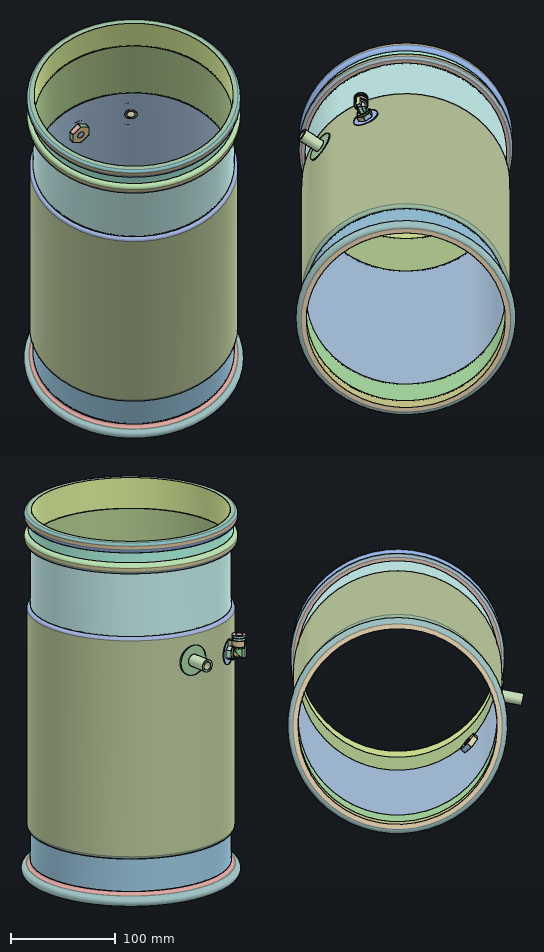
import cadquery as cq
import math

TOTAL_HEIGHT = 366.0
BORE_RADIUS = 190.0 / 2
TUBE_RADIUS = 192.0 / 2

FLANGE_RADIUS = 210.0 / 2
BEAD_HEIGHT = 10.2
FLARE = 3.3
FLANGE_HEIGHT = BEAD_HEIGHT + FLARE

JACKET_RADIUS = 199.0 / 2
JACKET_BOTTOM = 46.5
JACKET_TOP = 270.5
JACKET_ROUND = 3.3

COLLAR_RADIUS = 204.0 / 2
GROOVE_RADIUS = 196.0 / 2
COLLAR_HEIGHT = 31.0
COLLAR_BOTTOM = TOTAL_HEIGHT - COLLAR_HEIGHT
OUTER_ROUND = 2.5
BEAD_FLAT = 3.5
SHOULDER_HEIGHT = 4.5
SHOULDER_ROUND = 4.8

PLUG_SEAT = TUBE_RADIUS
PLUG_FACE = 100.0

STUB_ANGLE = 150.0
STUB_OFFSET = 3.0
STUB_Z = 241.0
STUB_RADIUS = 12.0 / 2
STUB_BORE_RADIUS = 8.0 / 2
STUB_REACH = 121.0
STUB_PLUG_RADIUS = 30.0 / 2

ELBOW_Y = -1.5
ELBOW_Z = 234.5
ELBOW_X = -110.5
ELBOW_PLUG_RADIUS = 25.0 / 2
PIPE_RADIUS = 8.0 / 2
SHANK_RADIUS = 7.5 / 2
HEX_FLATS = 13.5
HEX_LENGTH = 4.8
SLEEVE_RADIUS = 12.0 / 2
SLEEVE_LENGTH = 2.0
FIN_THICKNESS = 4.0
FIN_LEFT = -117.5
FIN_BOTTOM = 231.0
FIN_TOP = 247.0
HEAD_RADIUS = 13.5 / 2
HEAD_BOTTOM = 242.2
HEAD_TOP = 248.5
LEDGE_RADIUS = 12.0 / 2
LEDGE_BOTTOM = 240.8
NECK_RADIUS = 12.0 / 2
NECK_TOP = 251.0
RIM_TOP = 253.5
MOUTH_RADIUS = 7.5 / 2
MOUTH_DEPTH = 3.5

NUT_FLATS = 18.3
NUT_THICKNESS = 5.5
NUT_FACE = BORE_RADIUS - NUT_THICKNESS


def ring(outer_radius, bottom, top):
    """Plain ring around Z that keeps the common bore."""
    height = top - bottom
    return cq.Workplane("XY").workplane(offset=bottom).circle(outer_radius).circle(BORE_RADIUS).extrude(height)


def stub_rod(radius, start, end):
    """Round rod on the level stub axis, between two distances out from the Z axis."""
    turn = math.radians(STUB_ANGLE)
    outward = cq.Vector(math.cos(turn), math.sin(turn), 0)
    sideways = cq.Vector(math.sin(turn), -math.cos(turn), 0)
    base = outward * start + sideways * STUB_OFFSET + cq.Vector(0, 0, STUB_Z)
    return cq.Workplane(cq.Solid.makeCylinder(radius, end - start, base, outward))


def elbow_rod(radius, start, end):
    """Round rod on the level elbow axis, between two distances out from the Z axis."""
    base = cq.Vector(-start, ELBOW_Y, ELBOW_Z)
    return cq.Workplane(cq.Solid.makeCylinder(radius, end - start, base, cq.Vector(-1, 0, 0)))


def elbow_hexagon(flats, start, end):
    """Hexagonal bar on the level elbow axis with one corner up."""
    corner_diameter = flats / math.cos(math.pi / 6)
    plane = cq.Plane(origin=(-start, ELBOW_Y, ELBOW_Z), xDir=(0, 0, 1), normal=(-1, 0, 0))
    return cq.Workplane(plane).polygon(6, corner_diameter).extrude(end - start)


def upright(radius, bottom, top):
    """Round rod on the vertical elbow axis."""
    return cq.Workplane("XY", origin=(ELBOW_X, ELBOW_Y, bottom)).circle(radius).extrude(top - bottom)


def make_flange():
    """Half-round bead with a concave flare up to the lower tube."""
    bead_round = BEAD_HEIGHT / 2
    return (
        cq.Workplane("XZ")
        .moveTo(BORE_RADIUS, 0)
        .lineTo(FLANGE_RADIUS - bead_round, 0)
        .threePointArc((FLANGE_RADIUS, bead_round), (FLANGE_RADIUS - bead_round, BEAD_HEIGHT))
        .lineTo(TUBE_RADIUS + FLARE, BEAD_HEIGHT)
        .radiusArc((TUBE_RADIUS, FLANGE_HEIGHT), FLARE)
        .lineTo(BORE_RADIUS, FLANGE_HEIGHT)
        .close()
        .revolve(360, (0, 0, 0), (0, 1, 0))
    )


def make_collar():
    beads = ring(COLLAR_RADIUS, COLLAR_BOTTOM, TOTAL_HEIGHT)
    beads = beads.edges(cq.selectors.RadiusNthSelector(-1)).fillet(OUTER_ROUND)
    bead_height = OUTER_ROUND + BEAD_FLAT
    groove_bottom = COLLAR_BOTTOM + bead_height
    groove_top = TOTAL_HEIGHT - bead_height
    groove = (
        cq.Workplane("XZ")
        .moveTo(COLLAR_RADIUS, groove_bottom)
        .radiusArc((GROOVE_RADIUS, groove_bottom + SHOULDER_HEIGHT), -SHOULDER_ROUND)
        .lineTo(GROOVE_RADIUS, groove_top - SHOULDER_HEIGHT)
        .radiusArc((COLLAR_RADIUS, groove_top), -SHOULDER_ROUND)
        .close()
        .revolve(360, (0, 0, 0), (0, 1, 0))
    )
    return beads.cut(groove)


def make_jacket():
    jacket = ring(JACKET_RADIUS, JACKET_BOTTOM, JACKET_TOP)
    jacket = jacket.edges(cq.selectors.RadiusNthSelector(-1)).fillet(JACKET_ROUND)
    return (
        jacket
        .cut(stub_rod(STUB_PLUG_RADIUS, PLUG_SEAT, PLUG_FACE))
        .cut(stub_rod(STUB_RADIUS, 0, PLUG_FACE))
        .cut(elbow_rod(ELBOW_PLUG_RADIUS, PLUG_SEAT, PLUG_FACE))
        .cut(elbow_rod(SHANK_RADIUS, 0, PLUG_FACE))
    )


def make_stub():
    """Open tube that starts flush with the bore wall."""
    bore = cq.Workplane("XY").circle(BORE_RADIUS).extrude(TOTAL_HEIGHT)
    return stub_rod(STUB_RADIUS, 0, STUB_REACH).cut(stub_rod(STUB_BORE_RADIUS, 0, STUB_REACH)).cut(bore)


def make_stub_plug():
    plug = stub_rod(STUB_PLUG_RADIUS, PLUG_SEAT, PLUG_FACE)
    return plug.cut(stub_rod(STUB_RADIUS, PLUG_SEAT, PLUG_FACE))


def make_elbow_plug():
    plug = elbow_rod(ELBOW_PLUG_RADIUS, PLUG_SEAT, PLUG_FACE)
    return plug.cut(elbow_rod(SHANK_RADIUS, PLUG_SEAT, PLUG_FACE))


def mitred_pipe():
    """Pipe that comes down from the head and turns level towards the jacket in a mitred corner."""
    path = cq.Workplane("XZ", origin=(0, ELBOW_Y, 0)).polyline(
        [(ELBOW_X, LEDGE_BOTTOM), (ELBOW_X, ELBOW_Z), (-PLUG_FACE, ELBOW_Z)]
    )
    start = cq.Workplane("XY", origin=(ELBOW_X, ELBOW_Y, LEDGE_BOTTOM))
    return start.circle(PIPE_RADIUS).sweep(path, transition="right")


def make_elbow():
    fin = cq.Workplane("XY", origin=(FIN_LEFT, ELBOW_Y, FIN_BOTTOM)).box(
        -PLUG_FACE - FIN_LEFT, FIN_THICKNESS, FIN_TOP - FIN_BOTTOM, centered=(False, True, False)
    )
    hex_end = PLUG_FACE + HEX_LENGTH
    return (
        mitred_pipe()
        .union(fin)
        .union(upright(LEDGE_RADIUS, LEDGE_BOTTOM, HEAD_BOTTOM))
        .union(upright(HEAD_RADIUS, HEAD_BOTTOM, HEAD_TOP))
        .union(upright(NECK_RADIUS, HEAD_TOP, NECK_TOP))
        .union(upright(HEAD_RADIUS, NECK_TOP, RIM_TOP))
        .union(elbow_rod(SLEEVE_RADIUS, hex_end, hex_end + SLEEVE_LENGTH))
        .union(elbow_hexagon(HEX_FLATS, PLUG_FACE, hex_end))
        .union(elbow_rod(SHANK_RADIUS, NUT_FACE, PLUG_FACE))
        .cut(upright(MOUTH_RADIUS, RIM_TOP - MOUTH_DEPTH, RIM_TOP))
    )


def make_nut():
    """Hexagonal nut whose outer end follows the curve of the bore."""
    bore = cq.Workplane("XY").circle(BORE_RADIUS).extrude(TOTAL_HEIGHT)
    nut = elbow_hexagon(NUT_FLATS, NUT_FACE, BORE_RADIUS).intersect(bore)
    return nut.cut(elbow_rod(SHANK_RADIUS, NUT_FACE, BORE_RADIUS))


flange = make_flange()
lower_tube = ring(TUBE_RADIUS, FLANGE_HEIGHT, JACKET_BOTTOM)
jacket = make_jacket()
upper_sleeve = ring(TUBE_RADIUS, JACKET_TOP, COLLAR_BOTTOM)
collar = make_collar()
stub = make_stub()
stub_plug = make_stub_plug()
elbow_plug = make_elbow_plug()
elbow = make_elbow()
nut = make_nut()

bodies = [flange, lower_tube, jacket, upper_sleeve, collar, stub, stub_plug, elbow_plug, elbow, nut]
result = cq.Compound.makeCompound([body.solids().val() for body in bodies])